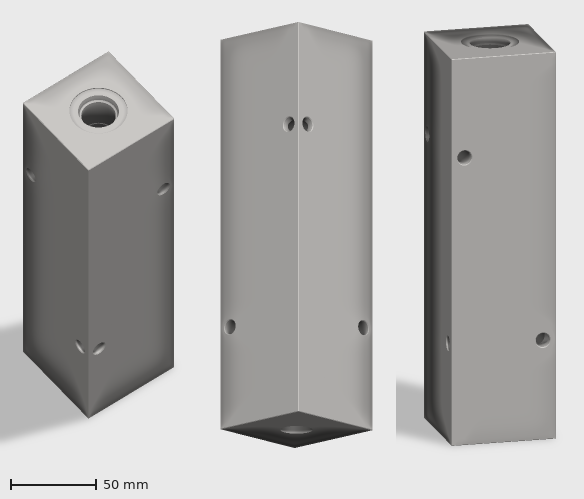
import cadquery as cq
block_side = 63.5
block_height = 235.0
edge_chamfer = 0.35

spotface_diameter = 34.0
spotface_depth = 0.7
seal_diameter = 24.0
seal_end_diameter = 22.5
seal_depth = 3.3
thread_diameter = 20.2
lead_in_depth = 0.7
thread_depth = 23.5
bore_diameter = 18.8

cross_hole_diameter = 8.5
cross_hole_chamfer = 0.5
cross_hole_offset = 23.7
cross_hole_height = 57.0


def make_block():
    block = cq.Workplane("XY").box(block_side, block_side, block_height)
    return block.edges().chamfer(edge_chamfer)


def make_port():
    """Revolved cutter of the port and the bore that runs through the block."""
    top = block_height / 2
    floor = top - spotface_depth
    seal_end = floor - seal_depth
    thread_start = seal_end - lead_in_depth
    thread_end = floor - thread_depth
    profile = [
        (0, top),
        (spotface_diameter / 2, top),
        (spotface_diameter / 2, floor),
        (seal_diameter / 2, floor),
        (seal_end_diameter / 2, seal_end),
        (thread_diameter / 2, thread_start),
        (thread_diameter / 2, thread_end),
        (bore_diameter / 2, thread_end),
        (bore_diameter / 2, -top),
        (0, -top),
    ]
    return cq.Workplane("XZ").polyline(profile).close().revolve(360, (0, 0), (0, 1))


def make_cross_hole():
    """Revolved cutter along Z, as long as the block is wide, flared at both ends."""
    end = block_side / 2
    radius = cross_hole_diameter / 2
    mouth_radius = radius + cross_hole_chamfer
    profile = [
        (0, end),
        (mouth_radius, end),
        (radius, end - cross_hole_chamfer),
        (radius, cross_hole_chamfer - end),
        (mouth_radius, -end),
        (0, -end),
    ]
    return cq.Workplane("XZ").polyline(profile).close().revolve(360, (0, 0), (0, 1))


def cut_cross_holes(body):
    """Cut a diagonal pair of holes along Y and another along X."""
    hole = make_cross_hole()
    hole_along_y = hole.rotate((0, 0, 0), (1, 0, 0), 90)
    hole_along_x = hole.rotate((0, 0, 0), (0, 1, 0), 90)
    for end in (1, -1):
        height = end * cross_hole_height
        offset = end * cross_hole_offset
        body = body.cut(hole_along_y.translate((-offset, 0, height)))
        body = body.cut(hole_along_x.translate((0, offset, height)))
    return body


result = cut_cross_holes(make_block().cut(make_port()))